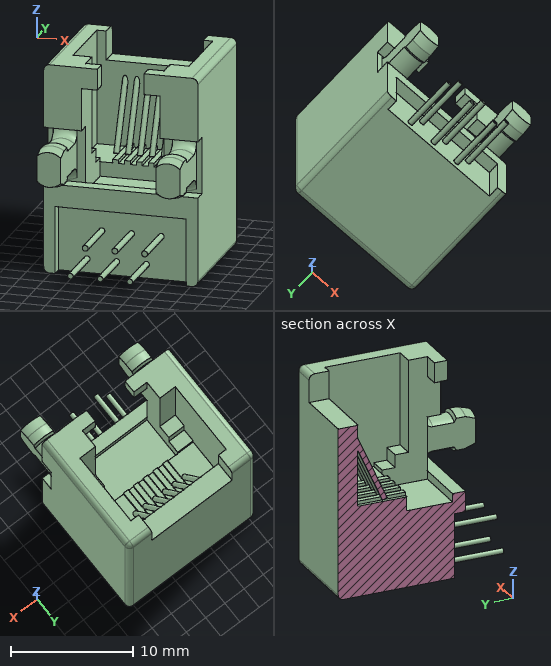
import cadquery as cq
import math


width = 13.2
depth = 11.5
height = 18.0
edge_radius = 0.5

cavity_half = 4.95
throat_half = 3.35
latch_slot_half = 2.0
cavity_front = 2.93
throat_front = 1.2
cavity_back = 9.7
shelf_step = 4.12
floor_edge = 5.3
latch_sill = 7.7
pit_floor = 6.95
cavity_floor = 8.2
low_shelf = 8.55
high_shelf = 9.7
latch_bar_bottom = 16.2
back_notch_half = 4.15
back_notch_floor = 15.5

relief_top = 12.55
relief_depth = throat_front
recess_half = 5.6
recess_top = 5.8
recess_depth = 1.0

peg_offset = 5.1
peg_z = (latch_sill + relief_top) / 2
peg_width = 2.05
shank_radius = 1.5
flare_radius = 0.8
barb_radius = 1.77
barb_start = -1.54
barb_crest = -1.72
barb_end = -2.55
peg_tip = -3.5

pin_count = 6
pin_diameter = 0.5
pin_tip = -3.75
pin_pitch = 1.27
pin_row_pitch = 2.54
low_row_z = 1.21
pin_embed = 0.5

contact_count = 6
contact_pitch = 1.016
contact_diameter = 0.48
contact_top_z = 13.75
contact_foot_y = 7.27
contact_foot_z = 8.36
contact_embed = 0.8
rib_width = 0.5
rib_top = 8.5
rib_embed = 0.2


def block(half_width, y_range, z_range):
    """Box centred on X that spans the given Y and Z ranges."""
    y0, y1 = y_range
    z0, z1 = z_range
    box = cq.Workplane("XY").box(2 * half_width, y1 - y0, z1 - z0, centered=(True, False, False))
    return box.translate((0, y0, z0))


def row_positions(count, pitch):
    """X positions of a row centred on X = 0."""
    return [(i - (count - 1) / 2) * pitch for i in range(count)]


def make_housing():
    """Block with rounded edges all round except on the board face."""
    body = block(width / 2, (0, depth), (0, height))
    return body.edges("|Y").fillet(edge_radius).faces(">Y").edges().fillet(edge_radius)


def cut_plug_cavity(body):
    """Stepped cavity open at the top, with the latch opening through the board face."""
    cutters = [
        block(cavity_half, (floor_edge, cavity_back), (cavity_floor, height)),
        block(cavity_half, (shelf_step, floor_edge), (low_shelf, height)),
        block(cavity_half, (cavity_front, shelf_step), (high_shelf, height)),
        block(throat_half, (throat_front, floor_edge), (pit_floor, height)),
        block(throat_half, (0, throat_front), (latch_sill, latch_bar_bottom)),
        block(latch_slot_half, (0, throat_front), (latch_bar_bottom, height)),
        block(back_notch_half, (cavity_back, depth), (back_notch_floor, height)),
    ]
    for cutter in cutters:
        body = body.cut(cutter)
    return body


def cut_board_face(body):
    """Relief notch behind the pegs and the shallow recess around the pins."""
    relief = block(width / 2, (0, relief_depth), (latch_sill, relief_top))
    recess = block(recess_half, (0, recess_depth), (0, recess_top))
    return body.cut(relief).cut(recess)


def make_peg(x):
    """Barbed round peg with a flared root and two flat sides."""
    root_radius = shank_radius + flare_radius
    flare_end = relief_depth - flare_radius
    arc_mid = flare_radius * (1 - math.sqrt(0.5))
    peg = (
        cq.Workplane("XY")
        .moveTo(0, relief_depth)
        .lineTo(root_radius, relief_depth)
        .threePointArc((shank_radius + arc_mid, flare_end + flare_radius - arc_mid), (shank_radius, flare_end))
        .lineTo(shank_radius, barb_start)
        .lineTo(barb_radius, barb_crest)
        .lineTo(barb_radius, barb_end)
        .lineTo(shank_radius, peg_tip)
        .lineTo(0, peg_tip)
        .close()
        .revolve(360, (0, 0, 0), (0, 1, 0))
    )
    flats = block(peg_width / 2, (peg_tip, relief_depth), (-root_radius, root_radius))
    return peg.intersect(flats).translate((x, 0, peg_z))


def make_pins():
    """Round pins alternating between a low row and a high row."""
    high_row_z = low_row_z + pin_row_pitch
    points = []
    for i, x in enumerate(row_positions(pin_count, pin_pitch)):
        row_z = low_row_z if i % 2 == 0 else high_row_z
        points.append((x, row_z))
    root_y = recess_depth + pin_embed
    return (
        cq.Workplane("XZ", origin=(0, root_y, 0))
        .pushPoints(points)
        .circle(pin_diameter / 2)
        .extrude(root_y - pin_tip)
    )


def make_contact(x):
    """Round wire leaning out of the back wall, down to just above the cavity floor."""
    foot = cq.Vector(x, contact_foot_y, contact_foot_z)
    run = cq.Vector(x, cavity_back, contact_top_z) - foot
    length = run.Length + contact_embed
    return cq.Workplane(cq.Solid.makeCylinder(contact_diameter / 2, length, foot, run))


def make_comb_rib(x):
    """Low rib on the cavity floor between two neighbouring contacts."""
    rib = block(rib_width / 2, (floor_edge, cavity_back + rib_embed), (cavity_floor - rib_embed, rib_top))
    return rib.translate((x, 0, 0))


result = cut_board_face(cut_plug_cavity(make_housing()))
for side in (-1, 1):
    result = result.union(make_peg(side * peg_offset))
for contact_x in row_positions(contact_count, contact_pitch):
    result = result.union(make_contact(contact_x))
for rib_x in row_positions(contact_count - 1, contact_pitch):
    result = result.union(make_comb_rib(rib_x))
result = result.union(make_pins())